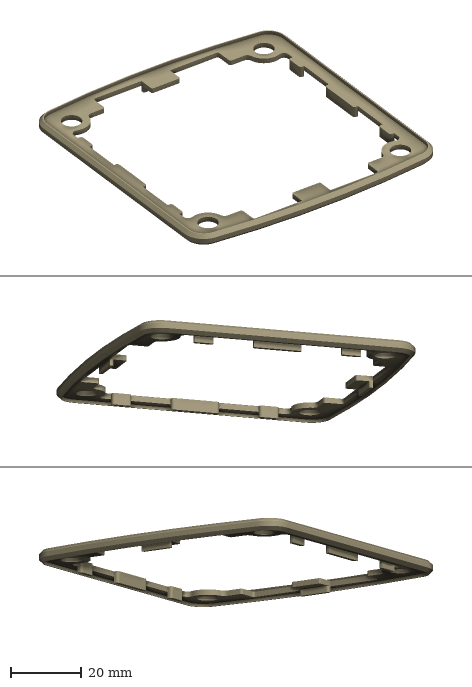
import cadquery as cq
import math

LENGTH_X = 86.75
WIDTH_Y = 84.75
SIDE_BOW_RADIUS = 303.6
CORNER_RADIUS = 6.6
RIM_CHAMFER = 1.0
RIM_LAND = 0.35
RIM_WALL = RIM_CHAMFER + RIM_LAND

TOTAL_HEIGHT = 4.5
RIM_BOTTOM = 0.95
PLATE_BOTTOM = 1.8
PLATE_THICKNESS = 1.6
PLATE_TOP = PLATE_BOTTOM + PLATE_THICKNESS

OPENING_HALF_X = 39.3
OPENING_HALF_Y = 37.3
CORNER_PAD_X = 33.5
CORNER_PAD_Y = 21.7
PAD_FILLET = 0.7

HOLE_X = 33.4
HOLE_Y = 33.4
HOLE_DIAMETER = 6.1
EYE_RADIUS = 5.4
EYE_BLEND_RADIUS = 1.6

TONGUE_REACH_X = 34.2
TONGUE_WIDTH = 9.9
TONGUE_FILLET = 0.5
RIB_THICKNESS = 1.1

CLIP_REACH = 1.4
CLIP_FILLET = 0.8
LONG_CLIP_LENGTH = 14.2
SHORT_CLIP_LENGTH = 5.7
SHORT_CLIP_X = 22.0

OVERLAP = 0.4


def bowed_outline(inset, bottom, top):
    """Rounded plan shape of the rim, moved inward by inset and extruded."""
    half_x = LENGTH_X / 2 - inset
    half_y = WIDTH_Y / 2 - inset
    radius = SIDE_BOW_RADIUS - inset
    corner_x = half_x - radius + math.sqrt(radius**2 - half_y**2)
    return (
        cq.Workplane("XY", origin=(0, 0, bottom))
        .moveTo(-corner_x, -half_y)
        .lineTo(corner_x, -half_y)
        .threePointArc((half_x, 0), (corner_x, half_y))
        .lineTo(-corner_x, half_y)
        .threePointArc((-half_x, 0), (-corner_x, -half_y))
        .close()
        .extrude(top - bottom)
        .edges("|Z")
        .fillet(CORNER_RADIUS - inset)
    )


def block(x_min, x_max, y_min, y_max, bottom, top):
    """Upright box given by its limits."""
    return cq.Workplane("XY").box(
        x_max - x_min, y_max - y_min, top - bottom, centered=False
    ).translate((x_min, y_min, bottom))


def on_circle(x, y, radius, angle):
    """Point at the given angle on a circle about (x, y)."""
    return (x + radius * math.cos(angle), y + radius * math.sin(angle))


def make_rim():
    """Outer ring, bevelled on its upper and lower outside edges."""
    rim = bowed_outline(0, RIM_BOTTOM, TOTAL_HEIGHT)
    rim = rim.faces("<Z or >Z").chamfer(RIM_CHAMFER)
    return rim.cut(bowed_outline(RIM_WALL, RIM_BOTTOM, TOTAL_HEIGHT))


def quarter_opening():
    """Opening in the +X +Y quarter, bounded by a corner pad and the eye of a screw hole."""
    blend_reach = EYE_RADIUS + EYE_BLEND_RADIUS
    pad_blend_x = CORNER_PAD_X - EYE_BLEND_RADIUS
    pad_blend_y = HOLE_Y - math.sqrt(blend_reach**2 - (HOLE_X - pad_blend_x) ** 2)
    edge_blend_y = OPENING_HALF_Y - EYE_BLEND_RADIUS
    edge_blend_x = HOLE_X - math.sqrt(blend_reach**2 - (edge_blend_y - HOLE_Y) ** 2)

    pad_angle = math.atan2(HOLE_Y - pad_blend_y, HOLE_X - pad_blend_x)
    edge_angle = math.atan2(HOLE_Y - edge_blend_y, HOLE_X - edge_blend_x)
    eye_middle = math.pi + (pad_angle + edge_angle) / 2
    eye_from_pad = on_circle(pad_blend_x, pad_blend_y, EYE_BLEND_RADIUS, pad_angle)
    eye_to_edge = on_circle(edge_blend_x, edge_blend_y, EYE_BLEND_RADIUS, edge_angle)
    pad_blend_middle = on_circle(pad_blend_x, pad_blend_y, EYE_BLEND_RADIUS, pad_angle / 2)
    edge_blend_middle = on_circle(
        edge_blend_x, edge_blend_y, EYE_BLEND_RADIUS, (edge_angle + math.pi / 2) / 2
    )

    opening = (
        cq.Workplane("XY", origin=(0, 0, PLATE_BOTTOM))
        .lineTo(OPENING_HALF_X, 0)
        .lineTo(OPENING_HALF_X, CORNER_PAD_Y)
        .lineTo(CORNER_PAD_X, CORNER_PAD_Y)
        .lineTo(CORNER_PAD_X, pad_blend_y)
        .threePointArc(pad_blend_middle, eye_from_pad)
        .threePointArc(on_circle(HOLE_X, HOLE_Y, EYE_RADIUS, eye_middle), eye_to_edge)
        .threePointArc(edge_blend_middle, (edge_blend_x, OPENING_HALF_Y))
        .lineTo(0, OPENING_HALF_Y)
        .close()
        .extrude(PLATE_THICKNESS)
    )
    pad_corners = cq.selectors.BoxSelector(
        (CORNER_PAD_X - PAD_FILLET, CORNER_PAD_Y - PAD_FILLET, PLATE_BOTTOM),
        (OPENING_HALF_X + PAD_FILLET, CORNER_PAD_Y + PAD_FILLET, PLATE_TOP),
    )
    return opening.edges("|Z").edges(pad_corners).fillet(PAD_FILLET)


def make_plate():
    """Thin plate inside the rim, with its opening and four screw holes."""
    plate = bowed_outline(RIM_WALL - OVERLAP, PLATE_BOTTOM, PLATE_TOP)
    quarter = quarter_opening()
    half = quarter.union(quarter.mirror("YZ"))
    plate = plate.cut(half).cut(half.mirror("XZ"))
    holes = (
        cq.Workplane("XY", origin=(0, 0, PLATE_BOTTOM))
        .rect(2 * HOLE_X, 2 * HOLE_Y, forConstruction=True)
        .vertices()
        .circle(HOLE_DIAMETER / 2)
        .extrude(PLATE_THICKNESS)
    )
    return plate.cut(holes)


def right_tongue():
    """Tongue reaching into the opening from the +X side, with a rib below its root."""
    half = TONGUE_WIDTH / 2
    root = OPENING_HALF_X + OVERLAP
    tongue = block(TONGUE_REACH_X, root, -half, half, PLATE_BOTTOM, PLATE_TOP)
    tongue = tongue.edges("|Z and <X").fillet(TONGUE_FILLET)
    rib = block(OPENING_HALF_X - RIB_THICKNESS, OPENING_HALF_X, -half, half, 0, PLATE_TOP)
    rib = rib.edges("|Z and <X").fillet(TONGUE_FILLET)
    return tongue.union(rib)


def back_clip(center_x, length):
    """Clip on the +Y edge of the opening, reaching down past the rim."""
    left = center_x - length / 2
    right = center_x + length / 2
    inner = OPENING_HALF_Y - CLIP_REACH
    clip = block(left, right, inner, OPENING_HALF_Y, 0, PLATE_TOP)
    clip = clip.edges("|Z and <Y").fillet(CLIP_FILLET)
    root_start = OPENING_HALF_Y - OVERLAP
    root_end = OPENING_HALF_Y + OVERLAP
    root = block(left, right, root_start, root_end, PLATE_BOTTOM, PLATE_TOP)
    return clip.union(root)


result = make_rim().union(make_plate())

tongue = right_tongue()
result = result.union(tongue).union(tongue.mirror("YZ"))

clips = back_clip(0, LONG_CLIP_LENGTH)
for side in (-1, 1):
    clips = clips.union(back_clip(side * SHORT_CLIP_X, SHORT_CLIP_LENGTH))
result = result.union(clips).union(clips.mirror("XZ"))